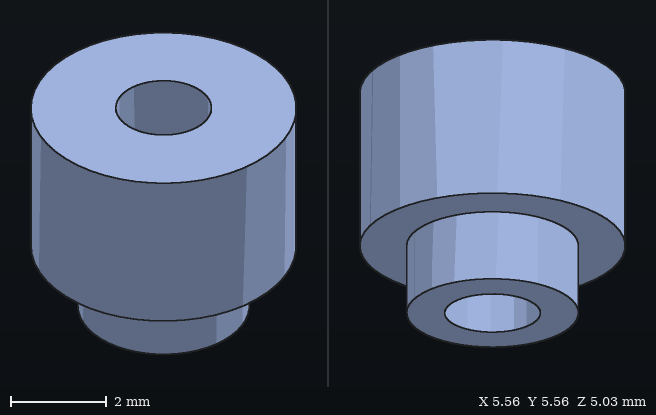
import cadquery as cq

body_diameter = 5.56
spigot_diameter = 3.6
bore_diameter = 2
total_height = 5.03
body_height = 3.505
spigot_height = total_height - body_height

spigot = cq.Workplane("XY").circle(spigot_diameter / 2).extrude(spigot_height)

body = (
    cq.Workplane("XY")
    .workplane(offset=spigot_height)
    .circle(body_diameter / 2)
    .extrude(body_height)
)

bore = cq.Workplane("XY").circle(bore_diameter / 2).extrude(total_height)

result = spigot.union(body).cut(bore)